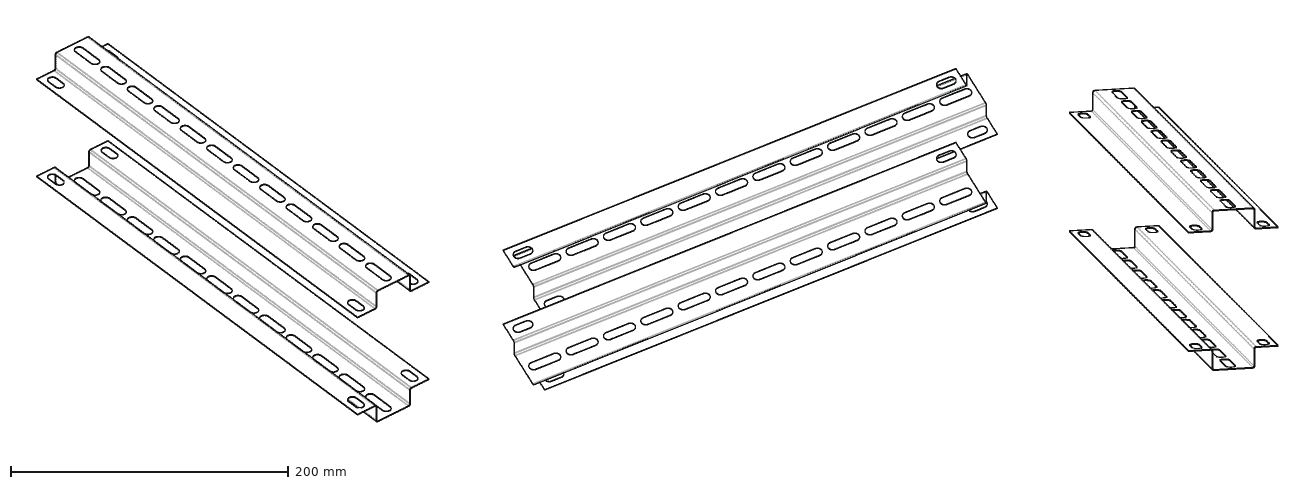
import cadquery as cq

RAIL_LENGTH = 366.0
OVERALL_HEIGHT = 119.44

SHEET = 0.72
INNER_RADIUS = 1.0
OUTER_RADIUS = INNER_RADIUS + SHEET
RAIL_WIDTH = 66.6
CROWN_WIDTH = 32.0
RAIL_HEIGHT = 16.0

CROWN_SLOT_COUNT = 12
CROWN_SLOT_PITCH = 30.2
CROWN_SLOT_LENGTH = 25.0
CROWN_SLOT_WIDTH = 7.0

FLANGE_SLOT_LENGTH = 15.0
FLANGE_SLOT_WIDTH = 7.0
FLANGE_SLOT_OFFSET = 25.0

CROWN_ROW_LENGTH = (CROWN_SLOT_COUNT - 1) * CROWN_SLOT_PITCH + CROWN_SLOT_LENGTH
FLANGE_SLOT_X = (CROWN_ROW_LENGTH - FLANGE_SLOT_LENGTH) / 2


def hat_section():
    """Bent sheet with its flanges on Z = 0 and its crown up, centred along X."""
    half_crown = CROWN_WIDTH / 2
    inner_half_crown = half_crown - SHEET
    half_width = RAIL_WIDTH / 2
    crown_underside = RAIL_HEIGHT - SHEET
    section = (
        cq.Workplane("YZ")
        .moveTo(-half_width, 0)
        .lineTo(-inner_half_crown, 0)
        .lineTo(-inner_half_crown, crown_underside)
        .lineTo(inner_half_crown, crown_underside)
        .lineTo(inner_half_crown, 0)
        .lineTo(half_width, 0)
        .lineTo(half_width, SHEET)
        .lineTo(half_crown, SHEET)
        .lineTo(half_crown, RAIL_HEIGHT)
        .lineTo(-half_crown, RAIL_HEIGHT)
        .lineTo(-half_crown, SHEET)
        .lineTo(-half_width, SHEET)
        .close()
        .extrude(RAIL_LENGTH / 2, both=True)
    )
    return round_bends(section, half_crown, inner_half_crown)


def round_bends(section, half_crown, inner_half_crown):
    """Round both faces of the four sheet bends about common centres."""
    outer_corners = [(half_crown, RAIL_HEIGHT), (inner_half_crown, 0)]
    inner_corners = [(inner_half_crown, RAIL_HEIGHT - SHEET), (half_crown, SHEET)]
    for corners, radius in ((outer_corners, OUTER_RADIUS), (inner_corners, INNER_RADIUS)):
        for y, z in corners:
            for side in (-1, 1):
                corner = cq.selectors.NearestToPointSelector((0, side * y, z))
                section = section.edges("|X").edges(corner).fillet(radius)
    return section


def slot_cutters():
    """Through-cutters for the crown row and the four flange slots."""
    crown_slots = (
        cq.Workplane("XY")
        .rarray(CROWN_SLOT_PITCH, 1, CROWN_SLOT_COUNT, 1)
        .slot2D(CROWN_SLOT_LENGTH, CROWN_SLOT_WIDTH)
        .extrude(RAIL_HEIGHT)
    )
    flange_slots = (
        cq.Workplane("XY")
        .rarray(2 * FLANGE_SLOT_X, 2 * FLANGE_SLOT_OFFSET, 2, 2)
        .slot2D(FLANGE_SLOT_LENGTH, FLANGE_SLOT_WIDTH)
        .extrude(RAIL_HEIGHT)
    )
    return crown_slots.add(flange_slots).combine()


def rail():
    """Slotted rail, crown up."""
    return hat_section().cut(slot_cutters())


upper_rail = rail().translate((0, 0, OVERALL_HEIGHT - RAIL_HEIGHT))
lower_rail = rail().mirror("XY").translate((0, 0, RAIL_HEIGHT))

result = cq.Compound.makeCompound([upper_rail.val(), lower_rail.val()])